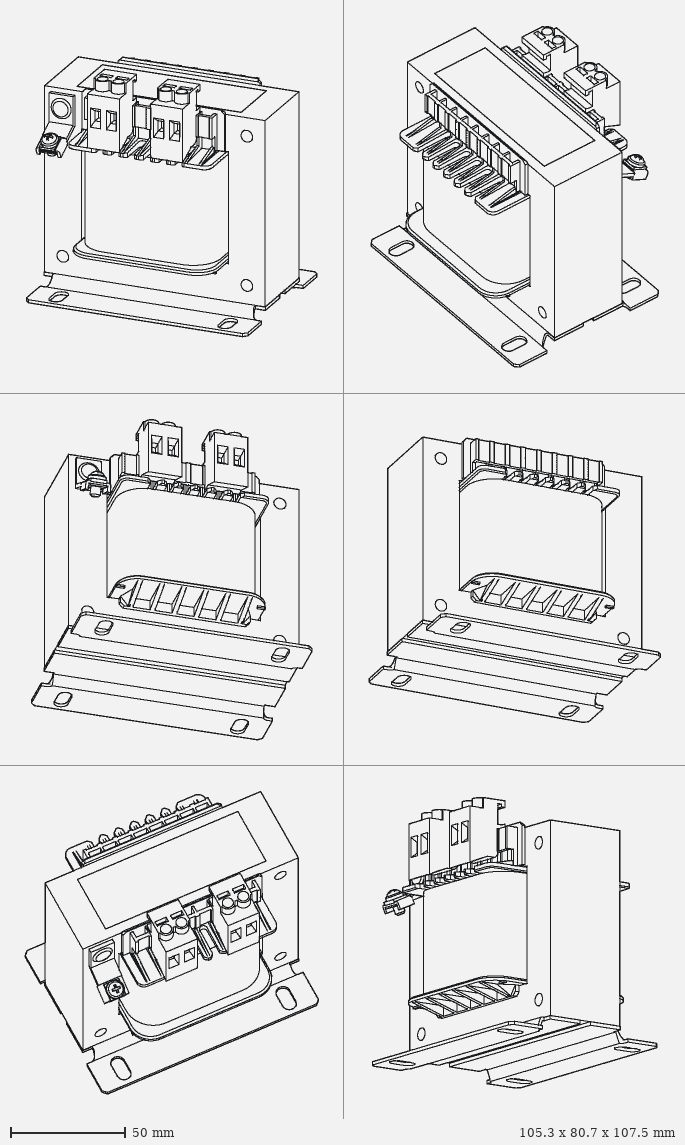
import cadquery as cq
import math

core_width = 105.0
core_depth = 37.4
core_bottom = 6.6
yoke = 17.5
window_height = 52.5
core_height = window_height + 2 * yoke
core_top = core_bottom + core_height
window_bottom = core_bottom + yoke
window_top = window_bottom + window_height
leg_width = 35.0
hole_d = 5.5
hole_inset = 8.7
hole_x = core_width / 2 - hole_inset
hole_z_low = core_bottom + hole_inset
hole_z_high = core_top - hole_inset
label_length = 78.1
label_depth = 28.0
label_height = 0.1

foot_length = 105.3
foot_edge_y = 40.0
foot_thick = 1.5
foot_top_thick = 1.6
foot_gap = 5.6
foot_corner = 1.8
bend_top_y = 20.5
bend_low_y = 23.0
bend_radius = 0.9
under_top_y = 19.8
under_low_y = 21.6
web_half = 48.0
relief_start_y = 18.9
relief_curve_y = 20.9
relief_flare = 2.5
slot_width = 6.2
slot_length = 12.3
slot_x = 40.2
slot_y = 31.5

lug_width = 11.4
lug_thick = 1.8
lug_top = 91.8
lug_bend_z = 78.3
lug_tilt = 25.0
lug_reach = 16.6
clamp_start = 8.3
clamp_depth = 3.5
clamp_raise = 0.4
clamp_web_depth = 0.9
flap_thick = 1.4
flap_radius = 1.3
rivet_d = 9.5
rivet_top_d = 7.2
rivet_height = 0.8
screw_reach = 12.9
screw_d = 4.5
screw_tip = 5.9
screw_chamfer = 0.9
head_d = 8.0
head_rim = 1.4
head_bevel = 0.5
head_dome = 1.9
head_dome_d = 6.5
cross_length = 3.7
cross_width = 0.9
cross_depth = 1.5
washer_width = 7.2
washer_length = 7.9
washer_top = 1.5
nut_width = 7.4
nut_bottom = 1.6

coil_width = 63.5
coil_depth = 65.2
coil_radius = 13.0
flange_width = 67.8
flange_back = 39.0
flange_front = -37.8
flange_thick = 2.2
low_flange_radius = 10.0
top_flange_radius = 3.5
low_flange_bevel_out = 0.9
top_flange_bevel_out = 0.4
flange_bevel_up = 1.0
low_flange_bottom = window_bottom
low_flange_top = low_flange_bottom + flange_thick
top_flange_top = 76.3
top_flange_bottom = top_flange_top - flange_thick

rib_pitch = 7.5
rib_count = 7
rib_thick = 1.1
finger_slot_width = 3.4
finger_slot_end = 22.2
outer_slot_end = 20.5
finger_flare = 1.5

wall_in = 19.0
wall_out = 20.5
wall_top = 96.5
wall_corner = 1.7
wall_bevel_out = 1.2
wall_bevel_up = 1.0
end_wall_out = 22.6
deck_top = 77.2

rail_in = 23.8
rail_out = 25.5
rail_bottom = 84.4
rail_top = 94.4
rail_half = 30.3
end_wall_thick = 1.4
pilaster_width = 2.2
pilaster_out = 26.0
rib_stem_out = 23.5
rib_stem_z = 79.4
rib_tip = 36.6
end_rib_x = 29.3
end_rib_thick = 1.3

skirt_half = 29.6
skirt_in = 19.0
skirt_out = 21.1
skirt_bottom = 19.5
skirt_corner = 1.7
gusset_thick = 2.2
gusset_pitch = 10.0
gusset_count = 6
gusset_tip = 36.4
corner_brace_x = 25.4
corner_brace_tip = 0.5
corner_brace_y = 30.1
pad_length = 3.7
pad_width = 1.3
pad_height = 0.8
pad_y = 30.3

block_width = 15.3
block_x = 15.1
block_top = 107.5
block_front = 40.7
block_step_z = 102.8
block_step_y = 33.2
block_back = 25.5
block_hook_y = 21.6
hook_thick = 1.7
hook_lip = 1.8
hook_lip_drop = 1.3
catch_top = 96.6
catch_lip_rise = 0.5
block_low_z = 77.5
block_mid_z = 81.5
block_mid_y = 31.1
block_nose_y = 27.1
block_nose_z = 82.8
pole_pitch = 7.5
tube_d = 6.5
tube_bore = 4.8
tube_y = -32.6
tube_bore_depth = 8.6
key_width = 5.4
key_depth = 2.3
key_y = -28.4
key_sink = 3.2
port_width = 4.7
port_low = 87.4
port_high = 96.5
port_inner_width = 2.8
port_inner_low = 89.6
port_inner_high = 94.3
port_funnel = 2.7
port_depth = 6.5


def box(x0, x1, y0, y1, z0, z1):
    """Box between two opposite corners."""
    return cq.Workplane("XY").box(x1 - x0, y1 - y0, z1 - z0, centered=False).translate((x0, y0, z0))


def side_prism(points, x_mid, width):
    """Prism with a (y, z) outline, centred on x_mid along X."""
    return cq.Workplane("YZ").polyline(points).close().extrude(width / 2, both=True).translate((x_mid, 0, 0))


def both_sides(shape):
    """Shape together with its mirror image across the XZ plane."""
    return shape.union(shape.mirror("XZ"))


def make_laminations():
    half_depth = core_depth / 2
    core = box(-core_width / 2, core_width / 2, -half_depth, half_depth, core_bottom, core_top)
    for side in (-1, 1):
        x_near = side * leg_width / 2
        x_far = side * (core_width / 2 - yoke)
        core = core.cut(box(min(x_near, x_far), max(x_near, x_far), -half_depth, half_depth,
                            window_bottom, window_top))
    open_holes = [(-hole_x, hole_z_low), (hole_x, hole_z_low), (hole_x, hole_z_high)]
    holes = (cq.Workplane("XZ").pushPoints(open_holes).circle(hole_d / 2)
             .extrude(half_depth, both=True))
    label = box(-label_length / 2, label_length / 2, -label_depth / 2, label_depth / 2,
                core_top, core_top + label_height)
    return core.cut(holes).union(label)


def make_bracket():
    """Bracket on the +Y side."""
    profile = [
        (foot_gap / 2, core_bottom), (bend_top_y, core_bottom), (bend_low_y, foot_thick),
        (foot_edge_y, foot_thick), (foot_edge_y, 0), (under_low_y, 0),
        (under_top_y, core_bottom - foot_top_thick), (foot_gap / 2, core_bottom - foot_top_thick),
    ]
    bracket = side_prism(profile, 0, foot_length)
    bracket = bracket.edges("|Z and >Y").chamfer(foot_corner)
    upper_bend = cq.selectors.NearestToPointSelector((0, bend_top_y, core_bottom))
    bracket = bracket.edges(upper_bend).fillet(bend_radius)
    slots = (cq.Workplane("XY").pushPoints([(-slot_x, slot_y), (slot_x, slot_y)])
             .slot2D(slot_length, slot_width, 90).extrude(foot_thick))
    arc_mid = (web_half + relief_flare * (1 - math.cos(math.pi / 4)),
               relief_curve_y + (bend_low_y - relief_curve_y) * math.sin(math.pi / 4))
    relief = (cq.Workplane("XY").moveTo(foot_length / 2, relief_start_y)
              .lineTo(web_half, relief_start_y).lineTo(web_half, relief_curve_y)
              .threePointArc(arc_mid, (web_half + relief_flare, bend_low_y))
              .lineTo(foot_length / 2, bend_low_y).close().extrude(core_bottom))
    return bracket.cut(slots).cut(relief).cut(relief.mirror("YZ"))


def make_earth_clamp():
    """Sloping tab, flaps, nut, washer and screw; the slope runs along -Y and its top is Z = 0."""
    half = lug_width / 2
    tab = box(-half, half, -clamp_start, 0, -lug_thick, 0)
    channel = box(-half, half, -lug_reach, -clamp_start, -clamp_depth, clamp_raise)
    channel = channel.edges("|Y and >Z").fillet(flap_radius)
    inside = half - flap_thick
    channel = channel.cut(box(-inside, inside, -lug_reach, -clamp_start, -clamp_depth, -clamp_web_depth))

    washer = cq.Workplane("XY").box(washer_width, washer_length, washer_top, centered=(True, True, False))
    nut = (cq.Workplane("XY").workplane(offset=-nut_bottom)
           .rect(nut_width, washer_length).extrude(nut_bottom - clamp_web_depth))
    shank = (cq.Workplane("XY").workplane(offset=-screw_tip).circle(screw_d / 2).extrude(screw_tip)
             .faces("<Z").chamfer(screw_chamfer))
    rim_top = washer_top + head_rim
    dome_base = rim_top + head_bevel
    head_top = dome_base + head_dome
    dome_radius = ((head_dome_d / 2) ** 2 + head_dome ** 2) / (2 * head_dome)
    half_angle = math.asin(head_dome_d / 2 / dome_radius) / 2
    dome_mid = (dome_radius * math.sin(half_angle), head_top - dome_radius * (1 - math.cos(half_angle)))
    head = (cq.Workplane("XZ").moveTo(0, washer_top).lineTo(head_d / 2, washer_top)
            .lineTo(head_d / 2, rim_top).lineTo(head_dome_d / 2, dome_base)
            .threePointArc(dome_mid, (0, head_top)).close().revolve(360, (0, 0), (0, 1)))
    for length, width in ((cross_length, cross_width), (cross_width, cross_length)):
        head = head.cut(cq.Workplane("XY").workplane(offset=head_top - cross_depth)
                        .rect(length, width).extrude(cross_depth))
    screw = washer.union(nut).union(shank).union(head).translate((0, -screw_reach, 0))
    return tab.union(channel).union(screw)


def make_earth_lug():
    """Riveted strip whose lower end bends outward into the sloping clamp."""
    face_y = -core_depth / 2
    outer_y = face_y - lug_thick
    tilt = math.radians(lug_tilt)
    inner_bend_z = lug_bend_z - lug_thick * math.tan(math.pi / 4 - tilt / 2)
    heel = (outer_y + lug_thick * math.sin(tilt), lug_bend_z - lug_thick * math.cos(tilt))
    strip = side_prism([(face_y, lug_top), (outer_y, lug_top), (outer_y, lug_bend_z), heel,
                        (face_y, inner_bend_z)], 0, lug_width)
    rivet = cq.Workplane(cq.Solid.makeCone(rivet_d / 2, rivet_top_d / 2, rivet_height,
                                           cq.Vector(0, outer_y, hole_z_high), cq.Vector(0, -1, 0)))
    clamp = (make_earth_clamp().rotate((0, 0, 0), (1, 0, 0), lug_tilt)
             .translate((0, outer_y, lug_bend_z)))
    return strip.union(rivet).union(clamp).translate((-hole_x, 0, 0))


def make_core():
    return make_laminations().union(both_sides(make_bracket())).union(make_earth_lug())


def make_flange(bottom_z, radius, bevelled_face, bevel_out):
    y_mid = (flange_back + flange_front) / 2
    flange = (cq.Workplane("XY").workplane(offset=bottom_z).center(0, y_mid)
              .rect(flange_width, flange_back - flange_front).extrude(flange_thick)
              .edges("|Z").fillet(radius))
    return flange.faces(bevelled_face).chamfer(bevel_out, flange_bevel_up)


def cut_finger_slots(former):
    """Slots between the ribs, flared where they open at the flange edge."""
    half = finger_slot_width / 2
    slot_count = rib_count - 1
    for i in range(slot_count):
        x = (i - (slot_count - 1) / 2) * rib_pitch
        end = outer_slot_end if i in (0, slot_count - 1) else finger_slot_end
        for side, edge in ((1, flange_back), (-1, flange_front)):
            slot = (cq.Workplane("XY").workplane(offset=top_flange_bottom)
                    .moveTo(x - half, side * (end + half))
                    .threePointArc((x, side * end), (x + half, side * (end + half)))
                    .lineTo(x + half, edge - side * finger_flare)
                    .lineTo(x + half + finger_flare, edge)
                    .lineTo(x - half - finger_flare, edge)
                    .lineTo(x - half, edge - side * finger_flare).close()
                    .extrude(deck_top - top_flange_bottom))
            former = former.cut(slot)
    return former


def make_deck():
    """Sloping deck on the upper flange, +Y side."""
    deck = [(wall_in, top_flange_top), (rib_tip, top_flange_top), (wall_in, deck_top)]
    return side_prism(deck, 0, 2 * rail_half)


def make_tall_wall():
    half = flange_width / 2
    wall = box(-half, half, wall_in, wall_out, deck_top, wall_top)
    wall = wall.edges("|Y and >Z").chamfer(wall_corner)
    bevel = [(wall_in, wall_top), (wall_in + wall_bevel_out, wall_top), (wall_in, wall_top - wall_bevel_up)]
    return wall.cut(side_prism(bevel, 0, flange_width))


def make_top_frame():
    """Rail and ribs above the upper flange, +Y side."""
    frame = make_tall_wall()
    frame = frame.union(box(-rail_half, rail_half, rail_in, rail_out, rail_bottom, rail_top))
    wedge = [(wall_out, top_flange_top), (rib_tip, top_flange_top), (rib_stem_out, rib_stem_z),
             (wall_out, rib_stem_z)]
    web = [(wall_out, top_flange_top), (rib_stem_out, top_flange_top), (rib_stem_out, rail_bottom),
           (rail_out, rail_bottom), (rail_out, rail_top), (wall_out, rail_top)]
    for i in range(rib_count):
        x = (i - (rib_count - 1) / 2) * rib_pitch
        frame = frame.union(side_prism(wedge, x, rib_thick)).union(side_prism(web, x, rib_thick))
        frame = frame.union(box(x - pilaster_width / 2, x + pilaster_width / 2, rail_in, pilaster_out,
                                rail_bottom, rail_top))
    end_wall = [(wall_out, deck_top), (end_wall_out, deck_top), (end_wall_out, rail_bottom),
                (pilaster_out, rail_bottom), (pilaster_out, rail_top), (wall_out, rail_top)]
    for side in (-1, 1):
        frame = frame.union(side_prism(end_wall, side * (rail_half - end_wall_thick / 2), end_wall_thick))
        frame = frame.union(side_prism(wedge, side * end_rib_x, end_rib_thick))
    return frame


def make_corner_brace():
    """Three-sided brace that closes the +X end of the skirt."""
    base = [(corner_brace_x, skirt_out), (skirt_half, skirt_out), (corner_brace_x, corner_brace_y)]
    tip = [(corner_brace_x, skirt_out), (corner_brace_x + corner_brace_tip, skirt_out),
           (corner_brace_x, skirt_out + corner_brace_tip)]
    return (cq.Workplane("XY").workplane(offset=low_flange_bottom).polyline(base).close()
            .workplane(offset=skirt_bottom - low_flange_bottom).polyline(tip).close().loft(ruled=True))


def make_skirt():
    """Wall, gussets and pads under the lower flange, +Y side."""
    skirt = box(-skirt_half, skirt_half, skirt_in, skirt_out, skirt_bottom, low_flange_bottom)
    skirt = skirt.edges("|Y and <Z").chamfer(skirt_corner)
    gusset = [(skirt_in, low_flange_bottom), (gusset_tip, low_flange_bottom), (skirt_out, skirt_bottom),
              (skirt_in, skirt_bottom)]
    for i in range(gusset_count):
        x = (i - (gusset_count - 1) / 2) * gusset_pitch
        skirt = skirt.union(side_prism(gusset, x, gusset_thick))
    brace = make_corner_brace()
    pad = box(flange_width / 2 - pad_length, flange_width / 2, pad_y - pad_width, pad_y,
              low_flange_bottom - pad_height, low_flange_bottom)
    for piece in (brace, pad):
        skirt = skirt.union(piece).union(piece.mirror("YZ"))
    return skirt


def make_terminal_block():
    hook_z = block_top - hook_thick
    profile = [
        (-block_hook_y, block_top), (-block_step_y, block_top), (-block_step_y, block_step_z),
        (-block_front, block_step_z), (-block_front, block_low_z), (-block_mid_y, block_mid_z),
        (-block_nose_y, block_mid_z), (-block_back, block_nose_z), (-block_back, rail_top),
        (-block_hook_y, rail_top), (-block_hook_y, catch_top + catch_lip_rise),
        (-block_hook_y - hook_lip, catch_top), (-block_back, catch_top), (-block_back, hook_z),
        (-block_hook_y - hook_lip, hook_z), (-block_hook_y - hook_lip, hook_z - hook_lip_drop),
        (-block_hook_y, hook_z - hook_lip_drop),
    ]
    block = side_prism(profile, 0, block_width)
    for x in (-pole_pitch / 2, pole_pitch / 2):
        tube = (cq.Workplane("XY").workplane(offset=block_step_z).center(x, tube_y)
                .circle(tube_d / 2).extrude(block_top - block_step_z))
        block = block.union(tube)
    for x in (-pole_pitch / 2, pole_pitch / 2):
        bore = (cq.Workplane("XY").workplane(offset=block_top - tube_bore_depth).center(x, tube_y)
                .circle(tube_bore / 2).extrude(tube_bore_depth))
        key = (cq.Workplane("XY").workplane(offset=block_top - key_sink).center(x, key_y)
               .rect(key_width, key_depth).extrude(key_sink))
        block = block.cut(bore).cut(key).cut(make_wire_port(x))
    return block


def make_wire_port(x):
    """Funnel that narrows into a straight wire entry, opening on the block front."""
    mid_z = (port_low + port_high) / 2
    inner_mid_z = (port_inner_low + port_inner_high) / 2
    inner_height = port_inner_high - port_inner_low
    funnel = (cq.Workplane("XZ", origin=(x, -block_front, mid_z)).rect(port_width, port_high - port_low)
              .workplane(offset=-port_funnel).center(0, inner_mid_z - mid_z)
              .rect(port_inner_width, inner_height).loft(ruled=True))
    entry = (cq.Workplane("XZ", origin=(x, -block_front, inner_mid_z))
             .rect(port_inner_width, inner_height).extrude(-port_depth))
    return funnel.union(entry)


def make_coil():
    winding = (cq.Workplane("XY").workplane(offset=low_flange_top).rect(coil_width, coil_depth)
               .extrude(top_flange_bottom - low_flange_top).edges("|Z").fillet(coil_radius))
    top_flange = make_flange(top_flange_bottom, top_flange_radius, "<Z", top_flange_bevel_out)
    top_flange = top_flange.union(both_sides(make_deck()))
    coil = winding.union(cut_finger_slots(top_flange))
    coil = coil.union(make_flange(low_flange_bottom, low_flange_radius, ">Z", low_flange_bevel_out))
    coil = coil.union(both_sides(make_top_frame())).union(both_sides(make_skirt()))
    block = make_terminal_block()
    for x in (-block_x, block_x):
        coil = coil.union(block.translate((x, 0, 0)))
    leg_hole = box(-leg_width / 2, leg_width / 2, -core_depth / 2, core_depth / 2,
                   window_bottom, window_top)
    return coil.cut(leg_hole)


core = make_core()
coil = make_coil()
result = cq.Compound.makeCompound([core.solids().val(), coil.solids().val()])